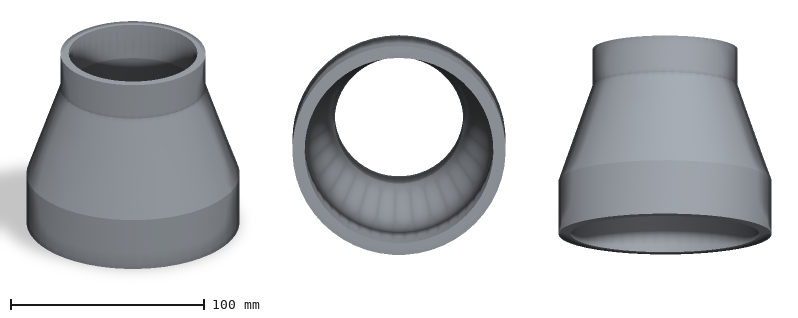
import cadquery as cq

wide_diameter = 110.0
narrow_diameter = 75.0
narrow_wall = 4.3
wide_wall = narrow_wall * wide_diameter / narrow_diameter

total_height = 97.0
wide_height = 28.0
cone_height = 49.8
cone_top = wide_height + cone_height


def stepped_body(wide_radius, narrow_radius):
    """Solid of revolution about Z: cylinder, cone, cylinder."""
    return (
        cq.Workplane("XZ")
        .moveTo(0, 0)
        .lineTo(wide_radius, 0)
        .lineTo(wide_radius, wide_height)
        .lineTo(narrow_radius, cone_top)
        .lineTo(narrow_radius, total_height)
        .lineTo(0, total_height)
        .close()
        .revolve(360, (0, 0, 0), (0, 1, 0))
    )


outer_body = stepped_body(wide_diameter / 2, narrow_diameter / 2)
bore = stepped_body(wide_diameter / 2 - wide_wall, narrow_diameter / 2 - narrow_wall)

result = outer_body.cut(bore)